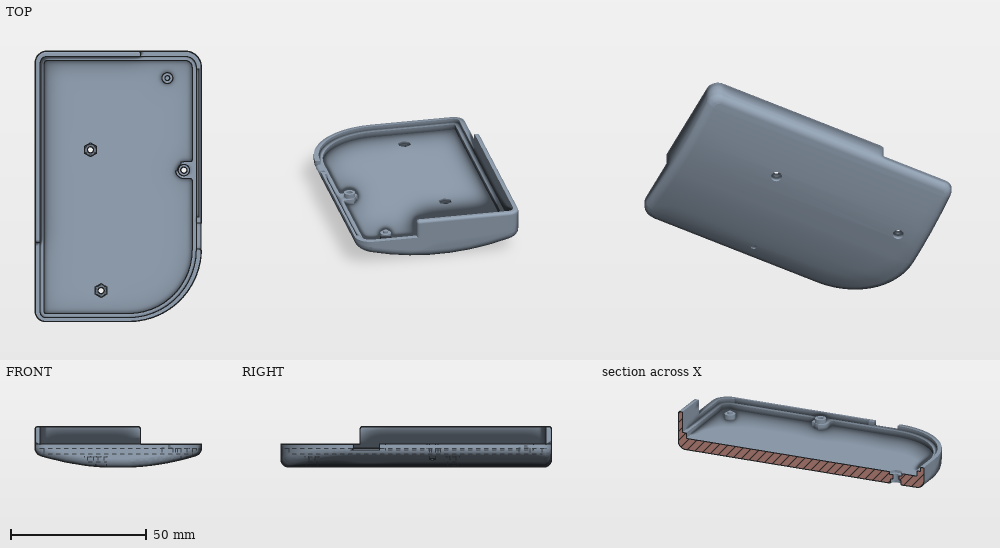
import cadquery as cq
import math

WIDTH = 61.5
LENGTH = 100.0
HEIGHT = 15.1
RIM_Z = 8.6

FRONT_LEFT_RADIUS = 4.0
FRONT_RIGHT_RADIUS = 27.0
REAR_RIGHT_RADIUS = 6.0
REAR_LEFT_RADIUS = 4.5

BELLY_RADIUS = 97.0
BELLY_FILLET = 3.0

SIDE_WALL = 1.9
REAR_WALL = 2.0
FRONT_WALL = 1.5
LEDGE_WIDTH = 1.5
LEDGE_Z = 7.0
FLOOR_Z = 4.9

SIDE_WALL_END_Y = 29.2
REAR_WALL_END_X = 39.0
WALL_FILLET = 1.0

RELIEF_FRONT_Y = 38.6
RELIEF_REAR_Y = 93.3
RELIEF_DEPTH = 1.0
RELIEF_Z = 6.4
NOTCH_FRONT_Y = 26.8
NOTCH_REAR_Y = 36.5
SILL_Z = 7.1
SILL_ROUNDING = 1.2
POST_FILLET = 0.8

PIN_BOSS_CENTER = (48.9, 90.0)
PIN_BOSS_DIAMETER = 4.0
PIN_BOSS_HEIGHT = 2.2
PIN_DIAMETER = 1.8
PIN_HEIGHT = 0.8
SCREW_BOSS_CENTER = (55.0, 56.0)
SCREW_BOSS_DIAMETER = 4.2
SCREW_BOSS_HEIGHT = 1.6
TAB_RADIUS = 3.1
TAB_FILLET = 0.8
TAB_CUT_X = SCREW_BOSS_CENTER[0] - 1.0
TAB_CUT_Y = SCREW_BOSS_CENTER[1] - 0.3
TAB_CORE_DIAMETER = 4.6
SCREW_DIAMETER = 2.2
HEAD_DIAMETER = 4.0
HEAD_RECESS_TOP_Z = 2.0
NUT_CENTERS = [(20.5, 63.5), (24.4, 11.5)]
NUT_FLATS = 4.4
NUT_DEPTH = 1.0


def rounded_plan(x0, y0, x1, y1, radii):
    """Closed outline; radii run front-left, front-right, rear-right, rear-left."""
    front_left, front_right, rear_right, rear_left = radii
    return (
        cq.Workplane("XY")
        .moveTo(x0 + front_left, y0)
        .lineTo(x1 - front_right, y0)
        .radiusArc((x1, y0 + front_right), -front_right)
        .lineTo(x1, y1 - rear_right)
        .radiusArc((x1 - rear_right, y1), -rear_right)
        .lineTo(x0 + rear_left, y1)
        .radiusArc((x0, y1 - rear_left), -rear_left)
        .lineTo(x0, y0 + front_left)
        .radiusArc((x0 + front_left, y0), -front_left)
        .close()
    )


def inset_plan(extra):
    """Cavity outline moved inwards by extra."""
    radii = (
        FRONT_LEFT_RADIUS - SIDE_WALL - extra,
        FRONT_RIGHT_RADIUS - SIDE_WALL - extra,
        REAR_RIGHT_RADIUS - SIDE_WALL - extra,
        REAR_LEFT_RADIUS - SIDE_WALL - extra,
    )
    return rounded_plan(
        SIDE_WALL + extra,
        FRONT_WALL + extra,
        WIDTH - SIDE_WALL - extra,
        LENGTH - REAR_WALL - extra,
        radii,
    )


def block(x0, y0, z0, x1, y1, z1):
    """Box between two opposite corners."""
    return cq.Workplane("XY").box(x1 - x0, y1 - y0, z1 - z0, centered=False).translate((x0, y0, z0))


def cylinder(center, diameter, z0, z1):
    """Upright cylinder."""
    return cq.Workplane("XY", origin=(*center, z0)).circle(diameter / 2).extrude(z1 - z0)


def bellied_body():
    """Solid outline whose underside is a shallow arc across the width."""
    radii = (FRONT_LEFT_RADIUS, FRONT_RIGHT_RADIUS, REAR_RIGHT_RADIUS, REAR_LEFT_RADIUS)
    outline = rounded_plan(0, 0, WIDTH, LENGTH, radii).extrude(HEIGHT)
    edge_z = BELLY_RADIUS - math.sqrt(BELLY_RADIUS**2 - (WIDTH / 2) ** 2)
    belly = (
        cq.Workplane("XZ")
        .moveTo(0, edge_z)
        .threePointArc((WIDTH / 2, 0), (WIDTH, edge_z))
        .lineTo(WIDTH, HEIGHT)
        .lineTo(0, HEIGHT)
        .close()
        .extrude(-LENGTH)
    )
    return outline.intersect(belly).faces("<Z").edges().fillet(BELLY_FILLET)


def lower_rim(body):
    """Drop the top to the rim, leaving a round-edged block over the left rear."""
    body = body.cut(block(0, 0, RIM_Z, WIDTH, SIDE_WALL_END_Y, HEIGHT))
    body = body.cut(block(REAR_WALL_END_X, 0, RIM_Z, WIDTH, LENGTH, HEIGHT))
    post_z = (RIM_Z + HEIGHT) / 2
    side_post = cq.selectors.NearestToPointSelector((0, SIDE_WALL_END_Y, post_z))
    rear_post = cq.selectors.NearestToPointSelector((REAR_WALL_END_X, LENGTH, post_z))
    top_edges = body.faces(">Z").edges()
    rounded_edges = top_edges.add(body.edges("|Z").edges(side_post)).add(body.edges("|Z").edges(rear_post))
    return rounded_edges.fillet(WALL_FILLET)


def screw_tab():
    """Round-ended tongue of the ledge under the screw boss, its rear left quarter cut back to a round core."""
    x, y = SCREW_BOSS_CENTER
    pocket_x = WIDTH - SIDE_WALL - LEDGE_WIDTH
    root_x = pocket_x - TAB_FILLET
    tongue = (
        cq.Workplane("XY", origin=(0, 0, FLOOR_Z))
        .moveTo(x, y - TAB_RADIUS)
        .lineTo(root_x, y - TAB_RADIUS)
        .radiusArc((pocket_x, y - TAB_RADIUS - TAB_FILLET), TAB_FILLET)
        .lineTo(pocket_x, y + TAB_RADIUS + TAB_FILLET)
        .radiusArc((root_x, y + TAB_RADIUS), TAB_FILLET)
        .lineTo(x, y + TAB_RADIUS)
        .threePointArc((x - TAB_RADIUS, y), (x, y - TAB_RADIUS))
        .close()
        .extrude(LEDGE_Z - FLOOR_Z)
    )
    corner = block(x - TAB_RADIUS, TAB_CUT_Y, FLOOR_Z, TAB_CUT_X, y + TAB_RADIUS, LEDGE_Z)
    core = cylinder(SCREW_BOSS_CENTER, TAB_CORE_DIAMETER, FLOOR_Z, LEDGE_Z)
    return tongue.cut(corner.cut(core))


def hollow(body):
    """Cut the cavity down to the ledge and the pocket down to the floor, keeping the screw tab."""
    cavity = inset_plan(0).extrude(HEIGHT).translate((0, 0, LEDGE_Z))
    pocket = inset_plan(LEDGE_WIDTH).extrude(HEIGHT).translate((0, 0, FLOOR_Z))
    return body.cut(cavity).cut(pocket).union(screw_tab())


def open_right_wall(body):
    """Thin the right wall from inside, and cut an opening with a round-edged sill."""
    inner_x = WIDTH - SIDE_WALL
    relief = block(inner_x, RELIEF_FRONT_Y, RELIEF_Z, inner_x + RELIEF_DEPTH, RELIEF_REAR_Y, HEIGHT)
    opening = (
        cq.Workplane("XZ", origin=(0, NOTCH_FRONT_Y, 0))
        .moveTo(inner_x, SILL_Z)
        .lineTo(WIDTH - SILL_ROUNDING, SILL_Z)
        .radiusArc((WIDTH, SILL_Z - SILL_ROUNDING), SILL_ROUNDING)
        .lineTo(WIDTH, HEIGHT)
        .lineTo(inner_x, HEIGHT)
        .close()
        .extrude(NOTCH_FRONT_Y - NOTCH_REAR_Y)
    )
    body = body.cut(relief).cut(opening)
    front_post = cq.selectors.NearestToPointSelector((WIDTH, NOTCH_FRONT_Y, (SILL_Z + RIM_Z) / 2))
    return body.edges("|Z").edges(front_post).fillet(POST_FILLET)


def add_bosses(body):
    """Pin boss on the floor and screw boss on the tab."""
    pin_boss_top = FLOOR_Z + PIN_BOSS_HEIGHT
    body = body.union(cylinder(PIN_BOSS_CENTER, PIN_BOSS_DIAMETER, FLOOR_Z, pin_boss_top))
    body = body.union(cylinder(PIN_BOSS_CENTER, PIN_DIAMETER, pin_boss_top, pin_boss_top + PIN_HEIGHT))
    return body.union(cylinder(SCREW_BOSS_CENTER, SCREW_BOSS_DIAMETER, LEDGE_Z, LEDGE_Z + SCREW_BOSS_HEIGHT))


def cut_screw_holes(body):
    """Through holes with head recesses underneath, and hexagonal nut seats in the floor."""
    for center in [SCREW_BOSS_CENTER] + NUT_CENTERS:
        body = body.cut(cylinder(center, SCREW_DIAMETER, 0, HEIGHT))
        body = body.cut(cylinder(center, HEAD_DIAMETER, 0, HEAD_RECESS_TOP_Z))
    nut_corners = NUT_FLATS / math.cos(math.pi / 6)
    for center in NUT_CENTERS:
        seat = (
            cq.Workplane("XY", origin=(*center, FLOOR_Z - NUT_DEPTH))
            .transformed(rotate=(0, 0, 30))
            .polygon(6, nut_corners)
            .extrude(NUT_DEPTH)
        )
        body = body.cut(seat)
    return body


body = lower_rim(bellied_body())
body = hollow(body)
body = open_right_wall(body)
body = add_bosses(body)
result = cut_screw_holes(body)